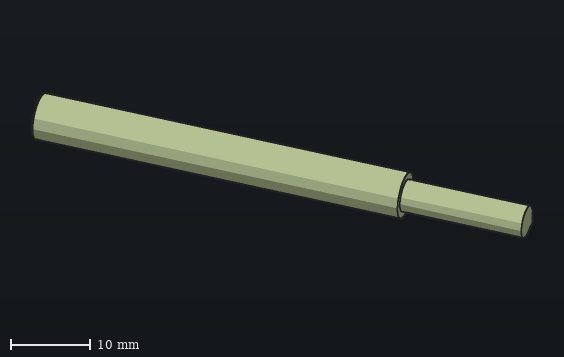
import cadquery as cq
import math

overall_length = 66.0
shank_diameter = 6.0
shank_length = 49.0
shank_chamfer = 0.25
cutting_diameter = 4.2
point_angle = 140.0

shank_radius = shank_diameter / 2
cutting_radius = cutting_diameter / 2
point_length = cutting_radius / math.tan(math.radians(point_angle / 2))
point_start = overall_length - point_length


def drill_profile():
    """Half outline in the XY plane, from the axis at the shank end to the tip."""
    return (
        cq.Workplane("XY")
        .moveTo(0, 0)
        .lineTo(0, shank_radius - shank_chamfer)
        .lineTo(shank_chamfer, shank_radius)
        .lineTo(shank_length, shank_radius)
        .lineTo(shank_length, cutting_radius)
        .lineTo(point_start, cutting_radius)
        .lineTo(overall_length, 0)
        .close()
    )


result = drill_profile().revolve(360, (0, 0, 0), (1, 0, 0))